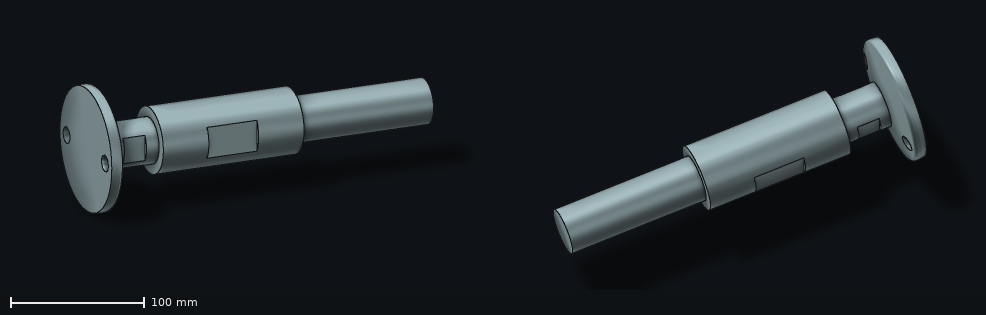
import cadquery as cq
import math

total_length = 277.0

foot_diameter = 98.0
sole_diameter = 97.0
sole_height = 4.2
rim_height = 6.6
shoulder_radius = 3.0
cone_top = 15.2
rod_diameter = 36.0

hole_diameter = 12.5
hole_offset = 35.7
hole_reach = 16.5

rod_flat_start = 23.8
rod_flat_length = 18.0
rod_flat_width = 30.0

sleeve_diameter = 52.0
sleeve_start = 52.0
sleeve_length = 115.2
sleeve_flat_length = 40.7
sleeve_flat_width = 46.0
sleeve_flat_start = sleeve_start + (sleeve_length - sleeve_flat_length) / 2

foot_radius = foot_diameter / 2
rod_radius = rod_diameter / 2

centre_x = foot_radius - shoulder_radius
drop_x = centre_x - rod_radius
drop_y = cone_top - rim_height
cone_angle = math.atan2(drop_y, drop_x) - math.asin(shoulder_radius / math.hypot(drop_x, drop_y))


def cylinder(diameter, start, length):
    """Round bar on the Y axis, running toward +Y from start."""
    return cq.Workplane("XZ", origin=(0, start, 0)).circle(diameter / 2).extrude(-length)


def shoulder_point(angle):
    """Point on the shoulder rounding, at an angle from the radial direction."""
    return (
        centre_x + shoulder_radius * math.cos(angle),
        rim_height + shoulder_radius * math.sin(angle),
    )


def cut_flats(body, diameter, start, length, width):
    """Cut two flats facing -X and +X, leaving the given width between them."""
    depth = (diameter - width) / 2
    for side in (-1, 1):
        cutter = cq.Workplane("XY").box(depth, length, diameter)
        cutter = cutter.translate((side * (width + depth) / 2, start + length / 2, 0))
        body = body.cut(cutter)
    return body


def mounting_hole(side):
    """Drill through the foot disc, leaning outward square to the cone."""
    direction = cq.Vector(side * math.sin(cone_angle), math.cos(cone_angle), 0)
    start = cq.Vector(side * hole_offset, 0, 0) - direction * hole_reach
    return cq.Solid.makeCylinder(hole_diameter / 2, 2 * hole_reach, start, direction)


def make_foot_spindle():
    tangent_angle = math.pi / 2 - cone_angle
    spindle = (
        cq.Workplane("XY")
        .lineTo(sole_diameter / 2, 0)
        .lineTo(foot_radius, sole_height)
        .lineTo(foot_radius, rim_height)
        .threePointArc(shoulder_point(tangent_angle / 2), shoulder_point(tangent_angle))
        .lineTo(rod_radius, cone_top)
        .lineTo(rod_radius, total_length)
        .lineTo(0, total_length)
        .close()
        .revolve(360, (0, 0, 0), (0, 1, 0))
    )
    for side in (-1, 1):
        spindle = spindle.cut(cq.Workplane(mounting_hole(side)))
    return cut_flats(spindle, rod_diameter, rod_flat_start, rod_flat_length, rod_flat_width)


def make_sleeve():
    sleeve = cylinder(sleeve_diameter, sleeve_start, sleeve_length)
    sleeve = sleeve.cut(cylinder(rod_diameter, sleeve_start, sleeve_length))
    return cut_flats(sleeve, sleeve_diameter, sleeve_flat_start, sleeve_flat_length, sleeve_flat_width)


foot_spindle = make_foot_spindle()
sleeve = make_sleeve()

result = cq.Compound.makeCompound([foot_spindle.val(), sleeve.val()])